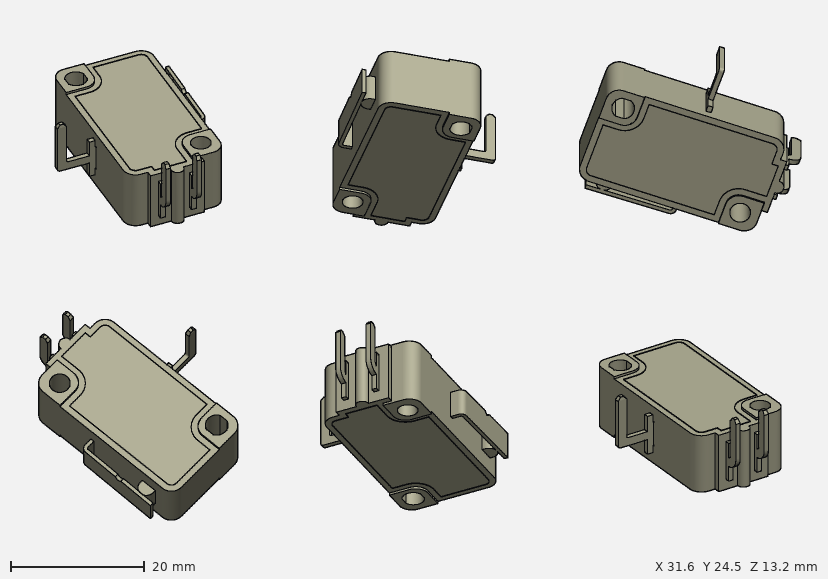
import cadquery as cq
import math

OVERALL_LENGTH = 31.6

CASE_LENGTH = 27.95
CASE_WIDTH = 15.9
CASE_HEIGHT = 10.3
CORNER_RADIUS = 2.02
MID_Z = CASE_HEIGHT / 2

EMBED_DEPTH = 0.32

PAD_SIZE = 5.4
PAD_STEP = 0.38

PANEL_INSET = 1.0
PANEL_STEP = 0.1
PANEL_RIGHT_BACK_Y = CASE_WIDTH - PAD_SIZE - PANEL_INSET
PANEL_RIGHT_FRONT_Y = 4.2

HOLE_DIAMETER = 3.1
HOLE_INSET_X = 2.9
HOLE_INSET_Y = 2.75
FLATTED_HOLE_DIAMETER = 3.38
FLATTED_HOLE_WIDTH = HOLE_DIAMETER

FLANGE_FRONT_Y = 3.13
FLANGE_BACK_Y = 11.95
FLANGE_DEPTH = 0.98
KEY_RADIUS = 1.0

BLADE_THICKNESS = 0.8
BLADE_WIDTH = 1.52
BASE_BOTTOM_Z = 2.12
BASE_TOP_Z = 8.5
ARM_BOTTOM_Z = 4.58
PIN_TOP_Z = 13.15
TIP_HEIGHT = 0.57
TIP_INSET_WIDE = 0.47
TIP_INSET_THIN = 0.1

END_BASE_DEPTH = 0.75
END_ARM_HEIGHT = BLADE_WIDTH
END_REACH = OVERALL_LENGTH - CASE_LENGTH - FLANGE_DEPTH
END_BEND_RADIUS = 2.0
END_BEND_INNER_RADIUS = END_BEND_RADIUS - BLADE_WIDTH
END_TERMINAL_CENTERS_Y = (4.8, 9.9)

COMMON_CENTER_X = 15.45
COMMON_BASE_DEPTH = 0.95
COMMON_ARM_HEIGHT = 1.35
COMMON_REACH = 6.2
COMMON_BEND_RADIUS = 0.47
COMMON_BEND_INNER_RADIUS = 0.3

NOTCH_END_X = 16.05
NOTCH_BOTTOM_Z = 3.32
NOTCH_TOP_Z = 7.35
NOTCH_DEPTH = 0.32

LEVER_BOTTOM_Z = 3.05
LEVER_TOP_Z = 7.35
LEVER_THICKNESS = 0.6
LEVER_TIP_X = 2.28
LEVER_TIP_Y = 18.3
LEVER_FOOT_X = 16.35
LEVER_SLOPE = math.radians(0.9)
LEVER_BEND_RADIUS = 0.92
LEVER_NOTCH_X = 8.85
LEVER_NOTCH_RADIUS = 0.6
LEVER_NOTCH_RISE = 0.2
PLUNGER_X = 4.75
PLUNGER_RADIUS = 1.3
PLUNGER_CENTER_Y = 16.4
PLUNGER_TOP_Z = 7.27


def block(x0, x1, y0, y1, z0, z1):
    """Box between two opposite corners."""
    return cq.Workplane("XY").box(x1 - x0, y1 - y0, z1 - z0, centered=False).translate((x0, y0, z0))


def case_block(z0, z1):
    """Case outline with its four round corners."""
    return block(0, CASE_LENGTH, 0, CASE_WIDTH, z0, z1).edges("|Z").fillet(CORNER_RADIUS)


def corner_zones(size, round_radius, z0, z1):
    """Square zones at the front left and back right case corners, inner corner rounded."""
    front_left = block(0, size, 0, size, z0, z1).edges("|Z and >X and >Y").fillet(round_radius)
    back_right = front_left.rotate(
        (CASE_LENGTH / 2, CASE_WIDTH / 2, 0), (CASE_LENGTH / 2, CASE_WIDTH / 2, 1), 180
    )
    return front_left.union(back_right)


def label_panel(z0, z1):
    """Panel that clears both pads and runs out to the +X edge between them."""
    panel = block(PANEL_INSET, CASE_LENGTH - PANEL_INSET, PANEL_INSET, CASE_WIDTH - PANEL_INSET, z0, z1)
    panel = panel.edges("|Z").fillet(CORNER_RADIUS - PANEL_INSET)
    run_out = block(CASE_LENGTH / 2, CASE_LENGTH, PANEL_RIGHT_FRONT_Y, PANEL_RIGHT_BACK_Y, z0, z1)
    pad_clearance = corner_zones(PAD_SIZE + PANEL_INSET, CORNER_RADIUS + PANEL_INSET, z0, z1)
    return panel.union(run_out).cut(pad_clearance)


def build_case():
    low_z = PAD_STEP
    high_z = CASE_HEIGHT - PAD_STEP
    case = case_block(low_z, high_z)

    pads = corner_zones(PAD_SIZE, CORNER_RADIUS, 0, CASE_HEIGHT)
    case = case.union(pads.intersect(case_block(0, CASE_HEIGHT)))
    case = case.union(label_panel(low_z - PANEL_STEP, high_z + PANEL_STEP))

    flange_end_x = CASE_LENGTH + FLANGE_DEPTH
    flange_start_x = CASE_LENGTH - EMBED_DEPTH
    case = case.union(block(flange_start_x, flange_end_x, FLANGE_FRONT_Y, FLANGE_BACK_Y, low_z, high_z))
    key = (
        cq.Workplane("XY", origin=(flange_end_x, (FLANGE_FRONT_Y + FLANGE_BACK_Y) / 2, low_z))
        .circle(KEY_RADIUS)
        .extrude(high_z - low_z)
    )
    return case.union(key)


def mounting_holes():
    hole = (
        cq.Workplane("XY")
        .center(CASE_LENGTH - HOLE_INSET_X, CASE_WIDTH - HOLE_INSET_Y)
        .circle(HOLE_DIAMETER / 2)
        .extrude(CASE_HEIGHT)
    )
    flatted_hole = (
        cq.Workplane("XY")
        .circle(FLATTED_HOLE_DIAMETER / 2)
        .extrude(CASE_HEIGHT)
        .intersect(
            cq.Workplane("XY").rect(FLATTED_HOLE_DIAMETER, FLATTED_HOLE_WIDTH).extrude(CASE_HEIGHT)
        )
        .translate((HOLE_INSET_X, HOLE_INSET_Y, 0))
    )
    return hole.union(flatted_hole)


def terminal(reach, base_depth, arm_height, outer_radius, inner_radius):
    """Terminal standing on the YZ plane, reaching toward +X and centered on Y = 0."""
    half = BLADE_THICKNESS / 2
    shoulder_z = PIN_TOP_Z - TIP_HEIGHT
    pin_x = reach - BLADE_WIDTH
    arm_top_z = ARM_BOTTOM_Z + arm_height
    base = block(-EMBED_DEPTH, base_depth, -half, half, BASE_BOTTOM_Z, BASE_TOP_Z)
    arm = block(0, reach, -half, half, ARM_BOTTOM_Z, arm_top_z)
    upright = block(pin_x, reach, -half, half, ARM_BOTTOM_Z, shoulder_z)
    blade = arm.union(upright).clean()
    blade = blade.edges("|Y and >X and <Z").fillet(outer_radius)
    inner_corner = cq.selectors.NearestToPointSelector((pin_x, 0, arm_top_z))
    blade = blade.edges("|Y").edges(inner_corner).fillet(inner_radius)
    tip = (
        cq.Workplane("XY", origin=(reach - BLADE_WIDTH / 2, 0, shoulder_z))
        .rect(BLADE_WIDTH, BLADE_THICKNESS)
        .workplane(offset=TIP_HEIGHT)
        .rect(BLADE_WIDTH - 2 * TIP_INSET_WIDE, BLADE_THICKNESS - 2 * TIP_INSET_THIN)
        .loft()
    )
    return base.union(blade).union(tip)


def end_terminals():
    single = terminal(
        END_REACH, END_BASE_DEPTH, END_ARM_HEIGHT, END_BEND_RADIUS, END_BEND_INNER_RADIUS
    )
    pair = cq.Workplane("XY")
    for center_y in END_TERMINAL_CENTERS_Y:
        pair = pair.union(single.translate((CASE_LENGTH + FLANGE_DEPTH, center_y, 0)))
    return pair


def common_terminal():
    single = terminal(
        COMMON_REACH,
        COMMON_BASE_DEPTH,
        COMMON_ARM_HEIGHT,
        COMMON_BEND_RADIUS,
        COMMON_BEND_INNER_RADIUS,
    )
    return single.rotate((0, 0, 0), (0, 0, 1), -90).translate((COMMON_CENTER_X, 0, 0))


def plunger():
    height = PLUNGER_TOP_Z - LEVER_BOTTOM_Z
    dome = (
        cq.Workplane("XY", origin=(PLUNGER_X, PLUNGER_CENTER_Y, LEVER_BOTTOM_Z))
        .circle(PLUNGER_RADIUS)
        .extrude(height)
    )
    stem = block(
        PLUNGER_X - PLUNGER_RADIUS,
        PLUNGER_X + PLUNGER_RADIUS,
        CASE_WIDTH - EMBED_DEPTH,
        PLUNGER_CENTER_Y,
        LEVER_BOTTOM_Z,
        PLUNGER_TOP_Z,
    )
    return dome.union(stem)


def lever():
    """Bent strip: a foot in the case wall and a gently sloped arm over the plunger."""
    height = LEVER_TOP_Z - LEVER_BOTTOM_Z
    inner_x = LEVER_FOOT_X - LEVER_THICKNESS
    foot_y = CASE_WIDTH - EMBED_DEPTH
    outer_y = LEVER_TIP_Y - (LEVER_FOOT_X - LEVER_TIP_X) * math.tan(LEVER_SLOPE)
    inner_y = LEVER_TIP_Y - LEVER_THICKNESS - (inner_x - LEVER_TIP_X) * math.tan(LEVER_SLOPE)
    strip = (
        cq.Workplane("XY", origin=(0, 0, LEVER_BOTTOM_Z))
        .moveTo(LEVER_FOOT_X, foot_y)
        .lineTo(LEVER_FOOT_X, outer_y)
        .lineTo(LEVER_TIP_X, LEVER_TIP_Y)
        .lineTo(LEVER_TIP_X, LEVER_TIP_Y - LEVER_THICKNESS)
        .lineTo(inner_x, inner_y)
        .lineTo(inner_x, foot_y)
        .close()
        .extrude(height)
    )
    outer_bend = cq.selectors.NearestToPointSelector((LEVER_FOOT_X, outer_y, MID_Z))
    strip = strip.edges("|Z").edges(outer_bend).fillet(LEVER_BEND_RADIUS)
    inner_bend = cq.selectors.NearestToPointSelector((inner_x, inner_y, MID_Z))
    strip = strip.edges("|Z").edges(inner_bend).fillet(LEVER_BEND_RADIUS - LEVER_THICKNESS)

    edge_notch = (
        cq.Workplane("XZ", origin=(LEVER_NOTCH_X, LEVER_TIP_Y, LEVER_TOP_Z + LEVER_NOTCH_RISE))
        .circle(LEVER_NOTCH_RADIUS)
        .extrude(LEVER_TIP_Y - CASE_WIDTH)
    )
    return strip.cut(edge_notch)


def wall_notch():
    return block(COMMON_CENTER_X, NOTCH_END_X, 0, NOTCH_DEPTH, NOTCH_BOTTOM_Z, NOTCH_TOP_Z)


result = build_case().cut(wall_notch()).cut(mounting_holes())
result = result.union(end_terminals()).union(common_terminal())
result = result.union(plunger()).union(lever())